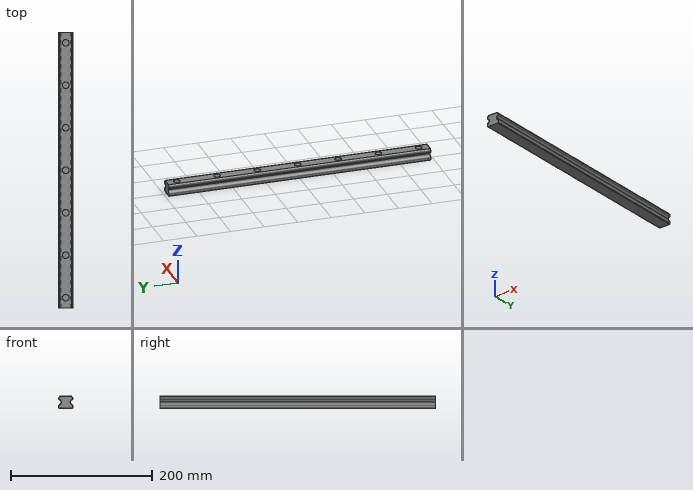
import cadquery as cq

rail_length = 390.0
rail_width = 20.0
rail_height = 17.5

half_width = rail_width / 2
top_half_width = 7.8
waist_half_width = 6.5
base_chamfer = 0.98
foot_side_top = 4.3
foot_slope_top = 7.8
head_side_bottom = 12.5
head_side_top = 15.2
waist_top = 9.5
lower_groove_half_width = 7.0
lower_groove_bottom = 10.0

ball_groove_radius = 2.7
waist_radius = 0.8
head_radius = 0.8
foot_radius = 1.0

recess_count = 7
recess_pitch = 60.0
recess_diameter = 9.5
recess_depth = 0.2


def make_rail():
    """Half of the waisted section, extruded along Y and mirrored about the centre plane."""
    half_section = (
        cq.Workplane("XZ")
        .lineTo(half_width - base_chamfer, 0)
        .lineTo(half_width, base_chamfer)
        .lineTo(half_width, foot_side_top)
        .lineTo(waist_half_width, foot_slope_top)
        .lineTo(waist_half_width, waist_top)
        .lineTo(lower_groove_half_width, lower_groove_bottom)
        .radiusArc((half_width, head_side_bottom), ball_groove_radius)
        .lineTo(half_width, head_side_top)
        .radiusArc((top_half_width, rail_height), ball_groove_radius)
        .lineTo(0, rail_height)
        .close()
    )
    half_rail = half_section.extrude(rail_length / 2, both=True)
    half_rail = round_corner(half_rail, half_width, foot_side_top, foot_radius)
    half_rail = round_corner(half_rail, half_width, head_side_bottom, head_radius)
    half_rail = round_corner(half_rail, half_width, head_side_top, head_radius)
    half_rail = round_corner(half_rail, waist_half_width, foot_slope_top, waist_radius)
    return half_rail.union(half_rail.mirror("YZ"), clean=True)


def round_corner(half_rail, x, z, radius):
    """Round the lengthwise edge at half width x and level z."""
    return half_rail.edges(cq.selectors.NearestToPointSelector((x, 0, z))).fillet(radius)


def cut_recesses(rail):
    """Cut one evenly spaced, centred row of round recesses into the top face."""
    return (
        rail.faces(">Z")
        .workplane(origin=(0, 0, rail_height))
        .rarray(4, recess_pitch, 1, recess_count)
        .hole(recess_diameter, recess_depth)
    )


result = cut_recesses(make_rail())